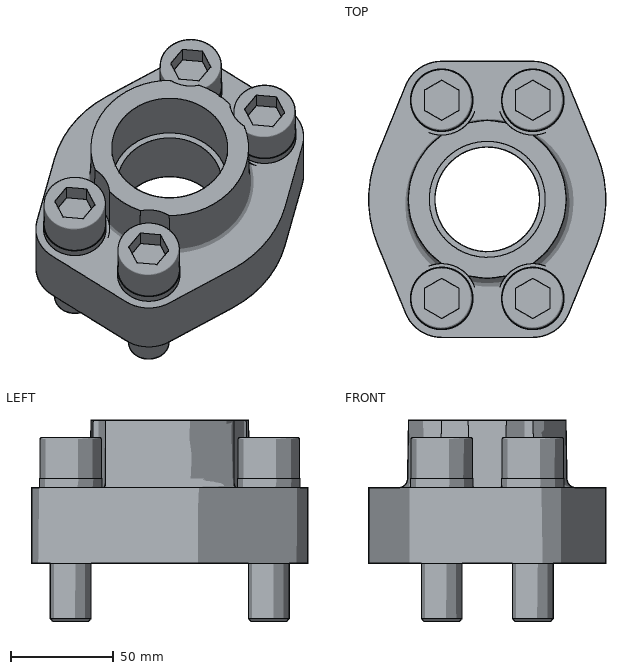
import cadquery as cq
import math

plate_length = 135.0
plate_thickness = 37.0
side_radius = 58.0

bolt_spacing_x = 44.5
bolt_spacing_y = 96.8
bolt_x = bolt_spacing_x / 2
bolt_y = bolt_spacing_y / 2
corner_radius = plate_length / 2 - bolt_y

neck_height = 33.0
neck_top_radius = 38.5
neck_draft = 1.0
neck_fillet = 4.3
scallop_radius = 17.0
bore_diameter = 51.0
socket_diameter = 56.66
socket_depth = 33.0

washer_diameter = 30.6
washer_thickness = 4.5
head_diameter = 30.0
head_height = 20.0
head_edge_radius = 0.9
hex_sides = 6
hex_across_flats = 17.0
hex_depth = 10.0
shank_diameter = 20.0
shank_length = 70.0
tip_chamfer_height = 1.6
tip_chamfer_width = 1.3

neck_top = plate_thickness + neck_height
head_base = plate_thickness + washer_thickness
head_top = head_base + head_height
bolt_centers = [(sx * bolt_x, sy * bolt_y) for sx in (-1, 1) for sy in (-1, 1)]


def make_plate():
    """Plate whose straight flanks are tangent to the side arcs and the corner arcs."""
    corner_distance = math.hypot(bolt_x, bolt_y)
    corner_direction = math.atan2(bolt_y, bolt_x)
    flank_angle = corner_direction - math.acos((side_radius - corner_radius) / corner_distance)
    corner_angle = (flank_angle + math.pi / 2) / 2
    side_x = side_radius * math.cos(flank_angle)
    side_y = side_radius * math.sin(flank_angle)
    flank_x = bolt_x + corner_radius * math.cos(flank_angle)
    flank_y = bolt_y + corner_radius * math.sin(flank_angle)
    corner_x = bolt_x + corner_radius * math.cos(corner_angle)
    corner_y = bolt_y + corner_radius * math.sin(corner_angle)
    end_y = plate_length / 2
    return (
        cq.Workplane("XY")
        .moveTo(side_x, -side_y)
        .threePointArc((side_radius, 0), (side_x, side_y))
        .lineTo(flank_x, flank_y)
        .threePointArc((corner_x, corner_y), (bolt_x, end_y))
        .lineTo(-bolt_x, end_y)
        .threePointArc((-corner_x, corner_y), (-flank_x, flank_y))
        .lineTo(-side_x, side_y)
        .threePointArc((-side_radius, 0), (-side_x, -side_y))
        .lineTo(-flank_x, -flank_y)
        .threePointArc((-corner_x, -corner_y), (-bolt_x, -end_y))
        .lineTo(bolt_x, -end_y)
        .threePointArc((corner_x, -corner_y), (flank_x, -flank_y))
        .close()
        .extrude(plate_thickness)
    )


def make_neck():
    """Drafted neck with a fillet at its foot, scalloped around the screw heads."""
    draft = math.radians(neck_draft)
    fillet_top_height = neck_fillet * (1 - math.sin(draft))
    fillet_top_radius = neck_top_radius + (neck_height - fillet_top_height) * math.tan(draft)
    foot_radius = fillet_top_radius + neck_fillet * math.cos(draft)
    mid_angle = (math.pi / 2 + draft) / 2
    mid_radius = foot_radius - neck_fillet * math.sin(mid_angle - draft)
    mid_height = neck_fillet * (1 - math.cos(mid_angle - draft))
    neck = (
        cq.Workplane("XZ", origin=(0, 0, plate_thickness))
        .lineTo(foot_radius, 0)
        .threePointArc((mid_radius, mid_height), (fillet_top_radius, fillet_top_height))
        .lineTo(neck_top_radius, neck_height)
        .lineTo(0, neck_height)
        .close()
        .revolve(360, (0, 0, 0), (0, 1, 0))
    )
    scallops = (
        cq.Workplane("XY", origin=(0, 0, plate_thickness))
        .pushPoints(bolt_centers)
        .circle(scallop_radius)
        .extrude(neck_height)
    )
    return neck.cut(scallops)


def make_bore():
    """Through bore with a wider socket opening at the neck top."""
    bore = cq.Workplane("XY").circle(bore_diameter / 2).extrude(neck_top)
    socket = (
        cq.Workplane("XY", origin=(0, 0, neck_top))
        .circle(socket_diameter / 2)
        .extrude(-socket_depth)
    )
    return bore.union(socket)


def make_cap_screw():
    """Socket head cap screw with its washer, on the Z axis."""
    shank_radius = shank_diameter / 2
    tip = head_base - shank_length
    shank = (
        cq.Workplane("XZ")
        .moveTo(0, tip)
        .lineTo(shank_radius - tip_chamfer_width, tip)
        .lineTo(shank_radius, tip + tip_chamfer_height)
        .lineTo(shank_radius, head_base)
        .lineTo(0, head_base)
        .close()
        .revolve(360, (0, 0, 0), (0, 1, 0))
    )
    washer = (
        cq.Workplane("XY", origin=(0, 0, plate_thickness))
        .circle(washer_diameter / 2)
        .extrude(washer_thickness)
    )
    head = (
        cq.Workplane("XY", origin=(0, 0, head_base))
        .circle(head_diameter / 2)
        .extrude(head_height)
        .faces(">Z")
        .edges()
        .fillet(head_edge_radius)
    )
    hex_across_corners = hex_across_flats / math.cos(math.pi / hex_sides)
    hex_socket = (
        cq.Workplane("XY", origin=(0, 0, head_top))
        .transformed(rotate=(0, 0, 90))
        .polygon(hex_sides, hex_across_corners)
        .extrude(-hex_depth)
    )
    return shank.union(washer).union(head).cut(hex_socket)


result = make_plate().union(make_neck()).cut(make_bore())
cap_screw = make_cap_screw()
for center_x, center_y in bolt_centers:
    result = result.union(cap_screw.translate((center_x, center_y, 0)))